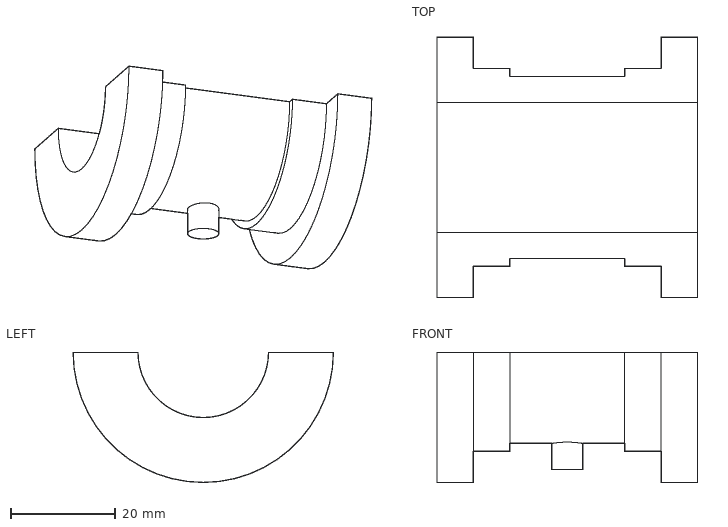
import cadquery as cq

length = 50.0
bore_radius = 12.5
flange_radius = 25.0
shoulder_radius = 19.0
barrel_radius = 17.5
flange_width = 7.0
shoulder_width = 7.0

pin_diameter = 6.0
pin_tip_depth = 22.5

half_length = length / 2
flange_inner_x = half_length - flange_width
shoulder_inner_x = flange_inner_x - shoulder_width


def half_shell():
    """Revolve half of the wall section by 180 degrees and mirror it about the YZ plane."""
    wall_section = [
        (0, bore_radius),
        (half_length, bore_radius),
        (half_length, flange_radius),
        (flange_inner_x, flange_radius),
        (flange_inner_x, shoulder_radius),
        (shoulder_inner_x, shoulder_radius),
        (shoulder_inner_x, barrel_radius),
        (0, barrel_radius),
    ]
    half = cq.Workplane("XY").polyline(wall_section).close().revolve(180, (0, 0, 0), (-1, 0, 0))
    return half.union(half.mirror("YZ"))


def locating_pin():
    """Vertical pin rooted inside the barrel wall."""
    root_depth = (bore_radius + barrel_radius) / 2
    return (
        cq.Workplane("XY")
        .workplane(offset=-pin_tip_depth)
        .circle(pin_diameter / 2)
        .extrude(pin_tip_depth - root_depth)
    )


result = half_shell().union(locating_pin())